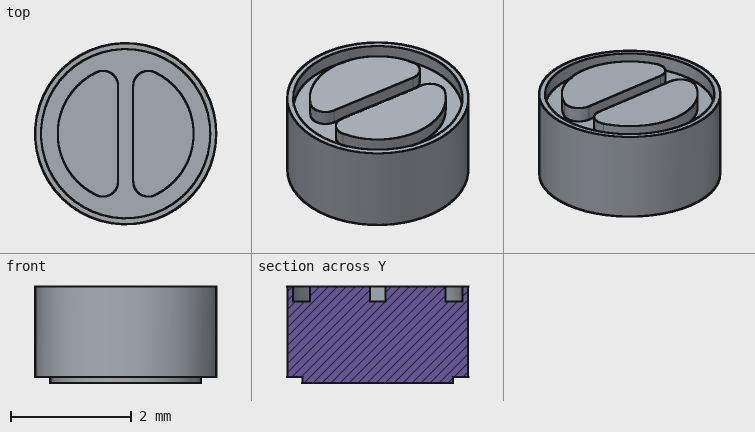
import cadquery as cq

body_diameter = 3.0
body_height = 1.5

base_diameter = 2.5
base_height = 0.1

recess_diameter = 2.8
recess_depth = 0.25

pad_circle_diameter = 2.25
pad_gap = 0.25
pad_corner_radius = 0.25

body_top = base_height + body_height
recess_floor = body_top - recess_depth


def cylinder(diameter, bottom, height):
    """Upright cylinder on the Z axis."""
    return cq.Workplane("XY").workplane(offset=bottom).circle(diameter / 2).extrude(height)


def make_pads():
    """Disc split by a gap along Y, with the upright corners rounded."""
    disc = cylinder(pad_circle_diameter, recess_floor, recess_depth)
    gap = (
        cq.Workplane("XY")
        .workplane(offset=recess_floor)
        .rect(pad_gap, pad_circle_diameter)
        .extrude(recess_depth)
    )
    corner_edges = cq.selectors.BoxSelector(
        (-pad_gap, -pad_circle_diameter, recess_floor),
        (pad_gap, pad_circle_diameter, body_top),
    )
    return disc.cut(gap).edges("|Z").edges(corner_edges).fillet(pad_corner_radius)


base = cylinder(base_diameter, 0, base_height)
body = cylinder(body_diameter, base_height, body_height)
recess = cylinder(recess_diameter, recess_floor, recess_depth)

result = base.union(body).cut(recess).union(make_pads())